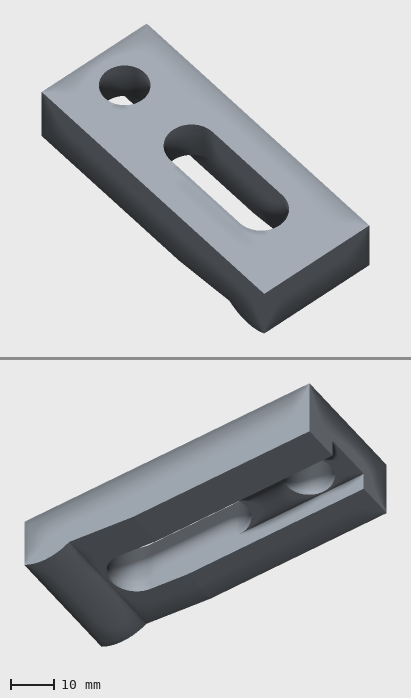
import cadquery as cq

length = 80.0
width = 32.0
height = 16.0

ramp_start = 49.4
ramp_end = 67.4
ramp_rise = 2.0
nose_bottom = 74.0
nose_radius = 12.0
nose_tip_rise = nose_radius - (nose_radius**2 - (length - nose_bottom) ** 2) ** 0.5

hole_diameter = 12.0
hole_x = 11.0
slot_width = 13.0
slot_start = 28.5
slot_length = 38.0
slot_center = slot_start + slot_length / 2
groove_depth = 5.0


def clamp_body():
    """Side profile with the ramp and nose, extruded across the width."""
    profile = (
        cq.Workplane("XZ")
        .moveTo(0, 0)
        .lineTo(ramp_start, 0)
        .lineTo(ramp_end, ramp_rise)
        .threePointArc((nose_bottom, 0), (length, nose_tip_rise))
        .lineTo(length, height)
        .lineTo(0, height)
        .close()
    )
    return profile.extrude(width / 2, both=True)


def screw_hole():
    return cq.Workplane("XY").center(hole_x, 0).circle(hole_diameter / 2).extrude(height)


def stud_slot():
    return cq.Workplane("XY").center(slot_center, 0).slot2D(slot_length, slot_width).extrude(height)


def bottom_groove():
    """Groove from the rear face to the middle of the slot."""
    return cq.Workplane("XY").box(slot_center, slot_width, groove_depth, centered=(False, True, False))


result = clamp_body().cut(screw_hole()).cut(stud_slot()).cut(bottom_groove())